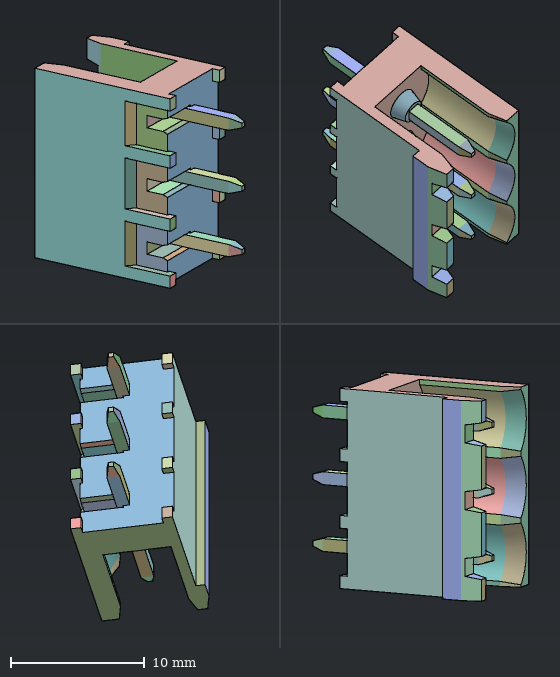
import cadquery as cq


overall_length = 16.0
overall_depth = 8.5
overall_height = 15.23
pole_count = 3
pitch = overall_height / pole_count
pole_heights = [pitch * (index + 0.5) for index in range(pole_count)]
pin_y = 3.9

cavity_depth = 8.25
back_x = 11.35
rib_end_x = 11.97
rib_depth = 0.82
rib_width = 1.0
lead_in_length = 1.5
lead_in_drop = 0.4
thick_wall = 1.75
thin_wall_inner_y = 6.93
thin_wall_outer_y = 7.8
hook_length = 3.04

scallop_radius = 3.04
scallop_flare = 0.43

notch_depth = 1.2
notch_mouth_width = 1.76
notch_floor_width = 1.36

recess_start_x = 7.97
recess_depth = 0.62
slot_start_x = 9.55
slot_flare_length = 0.4
slot_flare = 0.15

pin_width = 1.0
pin_tip_width = 0.4
pin_tip_length = 1.0
pin_front_x = 1.09
collar_length = 1.17
collar_base_radius = 1.25
collar_end_radius = 0.91


def box(x_range, y_range, z_range):
    """Box spanning the given (low, high) ranges."""
    lows, highs = zip(x_range, y_range, z_range)
    sizes = [high - low for low, high in zip(lows, highs)]
    return cq.Workplane("XY").box(*sizes, centered=False).translate(lows)


def cone_along_x(start_x, length, start_radius, end_radius, z):
    """Cone around a pin axis, from start_x toward +X."""
    return cq.Workplane(
        cq.Solid.makeCone(
            start_radius, end_radius, length, cq.Vector(start_x, pin_y, z), cq.Vector(1, 0, 0)
        )
    )


def make_housing():
    """U-shaped profile with lead-ins, a hooked edge and two rear ribs, extruded over the height."""
    profile = [
        (0, 0),
        (rib_end_x, 0),
        (rib_end_x, rib_depth),
        (back_x, rib_depth),
        (back_x, thin_wall_outer_y - rib_depth),
        (rib_end_x, thin_wall_outer_y - rib_depth),
        (rib_end_x, thin_wall_outer_y),
        (hook_length, thin_wall_outer_y),
        (hook_length, overall_depth),
        (lead_in_length, overall_depth),
        (0, overall_depth - lead_in_drop),
        (0, thin_wall_inner_y + lead_in_drop),
        (lead_in_length, thin_wall_inner_y),
        (cavity_depth, thin_wall_inner_y),
        (cavity_depth, thick_wall),
        (lead_in_length, thick_wall),
        (0, thick_wall - lead_in_drop),
    ]
    return cq.Workplane("XY").polyline(profile).close().extrude(overall_height)


def make_scallop(z):
    """Cylindrical relief up to the cavity floor, flared at the mating face."""
    relief = cone_along_x(0, lead_in_length, scallop_radius + scallop_flare, scallop_radius, z)
    bore = (
        cq.Workplane("YZ")
        .center(pin_y, z)
        .circle(scallop_radius)
        .extrude(cavity_depth)
    )
    thick_wall_zone = box((0, cavity_depth), (0, pin_y), (0, overall_height))
    return relief.union(bore).intersect(thick_wall_zone)


def make_notch(z):
    """Notch in the hooked edge, narrowing toward its floor."""
    outline = [
        (0, z - notch_mouth_width / 2),
        (notch_depth, z - notch_floor_width / 2),
        (notch_depth, z + notch_floor_width / 2),
        (0, z + notch_mouth_width / 2),
    ]
    return (
        cq.Workplane("XZ", origin=(0, overall_depth, 0))
        .polyline(outline)
        .close()
        .extrude(overall_depth - pin_y)
    )


def make_recess(low_z, high_z):
    """Recess between two ribs: a 45 degree ramp into the -Y wall, and the gap behind the back face."""
    outline = [
        (recess_start_x, 0),
        (recess_start_x + recess_depth, recess_depth),
        (back_x, recess_depth),
        (back_x, overall_depth),
        (rib_end_x, overall_depth),
        (rib_end_x, 0),
    ]
    return (
        cq.Workplane("XY", origin=(0, 0, low_z))
        .polyline(outline)
        .close()
        .extrude(high_z - low_z)
    )


def make_slot(z):
    """Slot from the recess to the pin axis, open at the back face and flared there."""
    half_width = pin_width / 2
    flare_start_x = back_x - slot_flare_length
    outline = [
        (slot_start_x, z - half_width),
        (flare_start_x, z - half_width),
        (back_x, z - half_width - slot_flare),
        (back_x, z + half_width + slot_flare),
        (flare_start_x, z + half_width),
        (slot_start_x, z + half_width),
    ]
    return cq.Workplane("XZ").polyline(outline).close().extrude(-pin_y)


def make_pin(z):
    """Square pin with both ends tapered, and a conical collar on the cavity floor."""
    shank_start_x = pin_front_x + pin_tip_length
    shank_end_x = overall_length - pin_tip_length
    pin = (
        cq.Workplane("YZ", origin=(shank_start_x, pin_y, z))
        .rect(pin_width, pin_width)
        .extrude(shank_end_x - shank_start_x)
    )
    for shoulder_x, tip_x in ((shank_start_x, pin_front_x), (shank_end_x, overall_length)):
        tip = (
            cq.Workplane("YZ", origin=(shoulder_x, pin_y, z))
            .rect(pin_width, pin_width)
            .workplane(offset=tip_x - shoulder_x)
            .rect(pin_tip_width, pin_tip_width)
            .loft(ruled=True)
        )
        pin = pin.union(tip)
    collar = cone_along_x(
        cavity_depth - collar_length, collar_length, collar_end_radius, collar_base_radius, z
    )
    return pin.union(collar)


result = make_housing()

for index in range(pole_count):
    rib_below = rib_width if index == 0 else rib_width / 2
    rib_above = rib_width if index == pole_count - 1 else rib_width / 2
    result = result.cut(make_recess(index * pitch + rib_below, (index + 1) * pitch - rib_above))

for pole_z in pole_heights:
    result = result.cut(make_scallop(pole_z))
    result = result.cut(make_notch(pole_z))
    result = result.cut(make_slot(pole_z))

for pole_z in pole_heights:
    result = result.union(make_pin(pole_z))